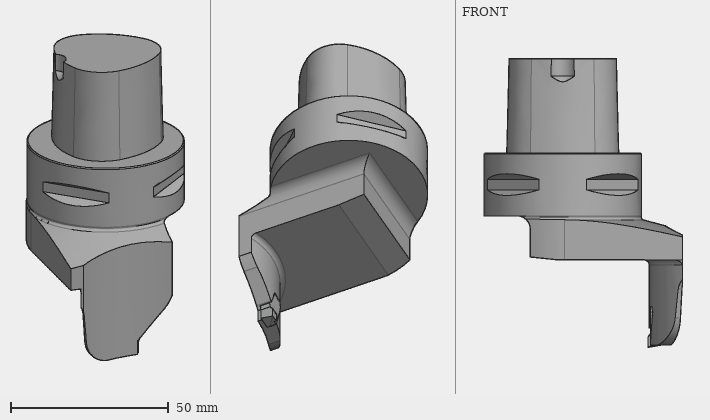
import cadquery as cq
import math

flange_diameter = 50.0
flange_height = 20.0
flange_chamfer = 0.4
flange_radius = flange_diameter / 2

shank_length = 29.95
shank_taper = 0.7
flat_radius = 27.5
flat_distance = 16.5
lobe_distance = 18.7

notch_radius = 4.3
notch_centre_y = -17.9
notch_depth = 5.6
notch_cone_depth = 3.2

slot_floor_distance = 22.2
slot_floor_width = 3.3
slot_mouth_width = 6.9

arm_bottom = -33.9
arm_front = -25.5
arm_back = 10.35
arm_left = -10.35
arm_right = 38.0
arm_round_x = 0.6
arm_fillet = 4.0
arm_flare = 9.2
plate_thickness = 1.8
heel_rise = 0.9
heel_length = 8.8
neck_height = 0.4
neck_radius = 0.9
top_slope = math.tan(math.radians(15))
outer_limit = 55.0

blade_inner_centre_x = 55.6
blade_inner_radius = 28.2
blade_outer_centre_x = 76.0
blade_outer_radius = 43.5
blade_front = -22.0
blade_bottom = -60.9
blade_fillet = 1.65
back_curve_top = -41.7
back_curve_middle = (9.3, -44.0)
back_curve_end = (7.8, -46.35)
nose_corner = (0.2, -55.1)
nose_step_z = -56.3
blade_edge_y = -0.9
heel_curve_start_y = -12.0
heel_curve_middle = (-17.4, -58.1)
heel_curve_end = (-20.0, -52.2)
front_curve_start = (-20.9, -43.05)
front_curve_middle = (-21.25, -41.6)
front_curve_top = -40.2

insert_face_x = 27.85
insert_tip_x = 27.0
insert_back_x = 31.1
insert_bottom = -61.65
insert_side_y = -0.2
step_y = -3.1
step_top = -58.3
step_rise = 1.0
insert_corners = [
    (-3.1, -48.6),
    (-7.1, -48.8),
    (-7.7, -50.4),
    (-7.7, -51.4),
    (-4.7, -61.1),
    (insert_side_y, insert_bottom),
    (insert_side_y, -57.25),
    (0.3, -55.9),
    (-0.2, -55.2),
    (-1.7, -51.7),
]


def polar(radius, angle):
    return cq.Vector(radius * math.cos(angle), radius * math.sin(angle))


def shank_outline(offset, z):
    """Closed wire of three flatter arcs and three tangent lobe arcs."""
    centre = flat_radius - flat_distance
    rise = flat_radius - lobe_distance
    lobe_centre = (centre**2 - rise**2) / (2 * rise - centre)
    half_angle = math.atan2(
        lobe_centre * math.sin(math.pi / 3), centre + lobe_centre * math.cos(math.pi / 3)
    )
    radius = flat_radius - offset
    lift = cq.Vector(0, 0, z)
    edges = []
    for side in range(3):
        direction = -math.pi / 2 + side * 2 * math.pi / 3
        following = direction + 2 * math.pi / 3
        flat_centre = polar(-centre, direction) + lift
        next_centre = polar(-centre, following) + lift
        start = flat_centre + polar(radius, direction - half_angle)
        middle = polar(flat_distance - offset, direction) + lift
        end = flat_centre + polar(radius, direction + half_angle)
        crest = polar(lobe_distance - offset, direction + math.pi / 3) + lift
        next_start = next_centre + polar(radius, following - half_angle)
        edges.append(cq.Edge.makeThreePointArc(start, middle, end))
        edges.append(cq.Edge.makeThreePointArc(end, crest, next_start))
    return cq.Wire.assembleEdges(edges)


def make_shank():
    root = shank_outline(0, 0)
    tip = shank_outline(shank_taper, shank_length)
    shank = cq.Workplane(cq.Solid.makeLoft([root, tip], True))
    notch_floor = shank_length - notch_depth
    notch = (
        cq.Workplane("XZ")
        .polyline([
            (0, shank_length),
            (notch_radius, shank_length),
            (notch_radius, notch_floor),
            (0, notch_floor - notch_cone_depth),
        ])
        .close()
        .revolve(360, (0, 0, 0), (0, 1, 0))
        .translate((0, notch_centre_y, 0))
    )
    return shank.cut(notch)


def make_flange():
    flange = cq.Workplane("XY").circle(flange_radius).extrude(-flange_height)
    flange = flange.faces(">Z").edges().chamfer(flange_chamfer)
    floor_half = slot_floor_width / 2
    mouth_half = slot_mouth_width / 2
    slot = (
        cq.Workplane("XZ")
        .polyline([
            (slot_floor_distance, -floor_half),
            (flange_radius, -mouth_half),
            (flange_radius, mouth_half),
            (slot_floor_distance, floor_half),
        ])
        .close()
        .extrude(flange_radius, both=True)
        .translate((0, 0, -flange_height / 2))
    )
    for angle in (45, 135, 225, 315):
        flange = flange.cut(slot.rotate((0, 0, 0), (0, 0, 1), angle))
    return flange


def box(x_range, y_range, z_range):
    size = [high - low for low, high in (x_range, y_range, z_range)]
    return cq.Workplane("XY").box(*size, centered=False).translate((x_range[0], y_range[0], z_range[0]))


def cylinder(radius, centre_x, bottom, top):
    return cq.Workplane("XY").workplane(offset=bottom).center(centre_x, 0).circle(radius).extrude(top - bottom)


def arm_envelope():
    """Revolved limit with the concave neck ring and the sloped top of the arm."""
    ring_radius = flange_radius + neck_radius
    neck_bottom = -flange_height - neck_height
    ring_z = neck_bottom - neck_radius
    bulge = neck_radius * math.sqrt(0.5)
    return (
        cq.Workplane("XZ")
        .moveTo(0, arm_bottom)
        .lineTo(0, -flange_height)
        .lineTo(flange_radius, -flange_height)
        .lineTo(flange_radius, neck_bottom)
        .threePointArc((ring_radius - bulge, neck_bottom - bulge), (ring_radius, ring_z))
        .lineTo(outer_limit, ring_z - top_slope * (outer_limit - ring_radius))
        .lineTo(outer_limit, arm_bottom)
        .close()
        .revolve(360, (0, 0, 0), (0, 1, 0))
    )


def make_arm():
    top = -flange_height + plate_thickness
    column = box((arm_left, arm_right), (arm_front, arm_back), (arm_bottom, top))
    plate = box(
        (arm_left - arm_flare, arm_right), (arm_front, arm_back + arm_flare), (-flange_height, top)
    )
    arm = column.union(plate)
    root_left = cq.selectors.NearestToPointSelector((arm_left, (arm_front + arm_back) / 2, -flange_height))
    root_back = cq.selectors.NearestToPointSelector(((arm_left + arm_right) / 2, arm_back, -flange_height))
    arm = arm.edges(root_left + root_back).fillet(arm_fillet)
    footprint = cylinder(-arm_front, arm_round_x, arm_bottom, top).union(
        box((arm_round_x, arm_right), (arm_front, arm_back + arm_flare), (arm_bottom, top))
    )
    heel = (
        cq.Workplane("XZ")
        .polyline([
            (arm_left, arm_bottom),
            (arm_left, arm_bottom + heel_rise),
            (arm_left + heel_length, arm_bottom),
        ])
        .close()
        .extrude(outer_limit, both=True)
    )
    return arm.intersect(footprint).intersect(arm_envelope()).cut(heel)


def blade_profile():
    """Side outline of the blade, wide enough along X to cover its curved section."""
    return (
        cq.Workplane("YZ")
        .moveTo(arm_back, arm_bottom)
        .lineTo(arm_back, back_curve_top)
        .threePointArc(back_curve_middle, back_curve_end)
        .lineTo(*nose_corner)
        .lineTo(blade_edge_y, nose_step_z)
        .lineTo(blade_edge_y, blade_bottom)
        .lineTo(heel_curve_start_y, blade_bottom)
        .threePointArc(heel_curve_middle, heel_curve_end)
        .lineTo(*front_curve_start)
        .threePointArc(front_curve_middle, (blade_front, front_curve_top))
        .lineTo(blade_front, arm_bottom)
        .close()
        .extrude(arm_right)
    )


def make_holder():
    arm = make_arm()
    section = cylinder(blade_inner_radius, blade_inner_centre_x, blade_bottom, arm_bottom)
    holder = arm.union(section.intersect(blade_profile()))
    root = cq.selectors.NearestToPointSelector(
        (blade_inner_centre_x - blade_inner_radius, 0, arm_bottom)
    )
    holder = holder.edges(root).fillet(blade_fillet)
    outer_cut = cylinder(blade_outer_radius, blade_outer_centre_x, insert_bottom, 0)
    holder = holder.cut(outer_cut)
    return holder.union(make_flange()).union(make_shank())


def insert_outline():
    return cq.Workplane("YZ").polyline(insert_corners).close()


def make_insert():
    body = insert_outline().extrude(insert_back_x - insert_face_x).translate((insert_face_x, 0, 0))
    tip = (
        cq.Workplane("XZ")
        .polyline([
            (insert_face_x, insert_bottom),
            (insert_tip_x, insert_bottom),
            (insert_tip_x, step_top),
            (insert_face_x, step_top + step_rise),
        ])
        .close()
        .extrude(-step_y + insert_side_y)
        .translate((0, insert_side_y, 0))
    )
    tip = tip.intersect(insert_outline().extrude(insert_back_x))
    relief = (
        cq.Workplane("XZ")
        .polyline([
            (insert_tip_x, insert_bottom),
            (insert_back_x, insert_bottom),
            (insert_back_x, blade_bottom),
        ])
        .close()
        .extrude(outer_limit, both=True)
    )
    return body.union(tip).cut(relief)


insert = make_insert()
seat = insert_outline().extrude(insert_face_x)
holder = make_holder().cut(seat).cut(insert)

result = cq.Compound.makeCompound([holder.solids().val(), insert.solids().val()])